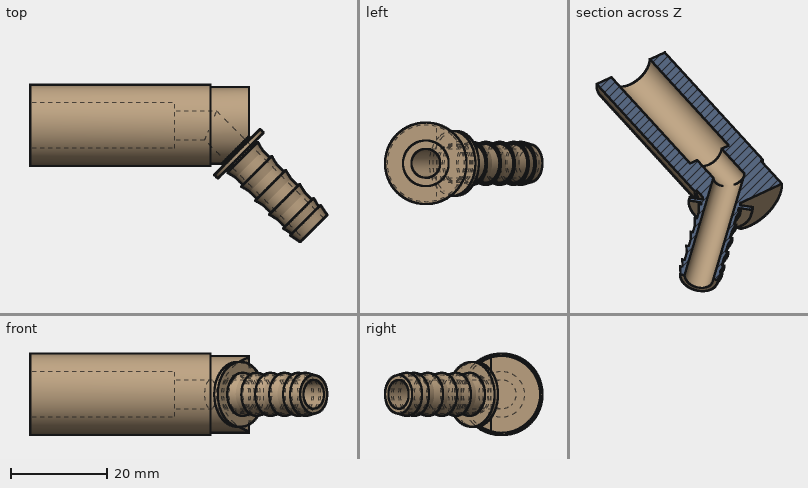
import cadquery as cq
import math

body_diameter = 17.0
body_length = 37.5
shoulder_diameter = 16.0
shoulder_length = 8.0
socket_diameter = 9.5
socket_depth = 30.0
bore_diameter = 6.0

branch_angle = 45.0
seat_station = 7.25
flange_station = 7.8
flange_thickness = 1.05
flange_diameter = 13.5
branch_length = 30.31
stem_diameter = 8.0
crest_diameter = 9.0

first_barb_station = 9.4
barb_pitch = 4.1
barb_taper_length = barb_pitch / 2
barb_count = 5
tip_barb_station = first_barb_station + (barb_count - 1) * barb_pitch + barb_taper_length

branch_x = math.cos(math.radians(branch_angle))
branch_y = -math.sin(math.radians(branch_angle))


def branch_plane(station):
    """Plane square to the branch axis at a distance from the elbow point."""
    return cq.Plane(
        origin=(body_length + station * branch_x, station * branch_y, 0),
        xDir=(0, 0, 1),
        normal=(branch_x, branch_y, 0),
    )


def branch_cylinder(start, diameter, length):
    return cq.Workplane(branch_plane(start)).circle(diameter / 2).extrude(length)


def make_body():
    """Stepped cylinder trimmed flat where the branch leaves it."""
    main = cq.Workplane("YZ").circle(body_diameter / 2).extrude(body_length)
    shoulder = (
        cq.Workplane("YZ")
        .workplane(offset=body_length)
        .circle(shoulder_diameter / 2)
        .extrude(shoulder_length)
    )
    trim_size = 2 * body_diameter
    trim = cq.Workplane(branch_plane(seat_station)).rect(trim_size, trim_size).extrude(trim_size)
    return main.union(shoulder).cut(trim)


def make_barb(start, length):
    """Cone frustum from the crest down to the stem diameter."""
    return (
        cq.Workplane(branch_plane(start))
        .circle(crest_diameter / 2)
        .workplane(offset=length)
        .circle(stem_diameter / 2)
        .loft(ruled=True)
    )


def make_branch():
    """Stem with its flange and barbs, rooted inside the body."""
    branch = branch_cylinder(0, stem_diameter, branch_length)
    branch = branch.union(branch_cylinder(flange_station, flange_diameter, flange_thickness))
    for index in range(barb_count):
        branch = branch.union(make_barb(first_barb_station + index * barb_pitch, barb_taper_length))
    return branch.union(make_barb(tip_barb_station, branch_length - tip_barb_station))


def make_passage():
    """Mitred through bore, widened to a socket at the open end of the body."""
    tip = (body_length + branch_length * branch_x, branch_length * branch_y)
    path = cq.Workplane("XY").moveTo(0, 0).lineTo(body_length, 0).lineTo(*tip)
    bore = cq.Workplane("YZ").circle(bore_diameter / 2).sweep(path, transition="right")
    socket = cq.Workplane("YZ").circle(socket_diameter / 2).extrude(socket_depth)
    return bore.union(socket)


result = make_body().union(make_branch()).cut(make_passage())